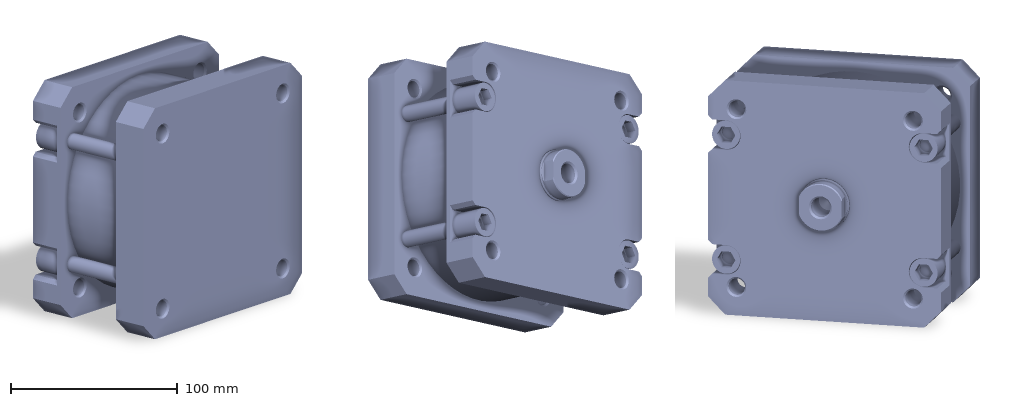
import cadquery as cq
import math

plate_side = 145.0
plate_thickness = 22.0
plate_corner_chamfer = 10.6

barrel_diameter = 132.5
barrel_length = 44.0

mount_hole_offset = 55.0
mount_hole_diameter = 10.2
mount_hole_mouth = 12.3

bolt_offset_y = 61.5
bolt_offset_z = 38.5
bolt_shank_diameter = 10.0
bolt_head_diameter = 17.4
bolt_head_gap = 0.5
bolt_thread_depth = 14.5
hex_across_flats = 10.0
hex_depth = 6.5
hex_pilot_diameter = 8.5
hex_pilot_depth = 1.5

slot_width = 18.3
slot_depth = 19.1
slot_flare = 2.5

rod_shaft_diameter = 31.0
rod_neck_diameter = 29.3
rod_protrusion = 10.0
rod_shoulder_gap = 0.6
rod_shoulder_length = 0.5
rod_edge = 0.6
rod_flat_width = 26.7
rod_flat_length = 8.1
rod_flat_run_out = 1.2
rod_bore_diameter = 12.0
rod_bore_mouth = 14.2
rod_bore_depth = 18.8
drill_point_angle = 118.0

rod_hole_mouth = 31.6

front_face = 0.0
barrel_start = front_face + plate_thickness
rear_plate_start = barrel_start + barrel_length
slot_floor = front_face + slot_depth
rod_tip = front_face - rod_protrusion
bolt_end = rear_plate_start + bolt_thread_depth
bolt_places = [(y, z) for y in (-bolt_offset_y, bolt_offset_y) for z in (-bolt_offset_z, bolt_offset_z)]
mount_places = [(y, z) for y in (-mount_hole_offset, mount_hole_offset)
                for z in (-mount_hole_offset, mount_hole_offset)]


def yz_plane(x):
    """Sketch plane facing +X at the given X; its axes are Y and Z."""
    return cq.Workplane("YZ", origin=(x, 0, 0))


def rod_axis_cylinder(x_start, x_end, diameter, y=0.0, z=0.0):
    return yz_plane(x_start).center(y, z).circle(diameter / 2).extrude(x_end - x_start)


def rod_axis_cone(x_start, x_end, start_diameter, end_diameter, y=0.0, z=0.0):
    """Cone along X; an end diameter of zero gives a pointed cone."""
    solid = cq.Solid.makeCone(
        start_diameter / 2, end_diameter / 2, x_end - x_start, cq.Vector(x_start, y, z), cq.Vector(1, 0, 0)
    )
    return cq.Workplane(solid)


def end_plate(x_start):
    """Square plate with chamfered corners and four countersunk through holes."""
    x_end = x_start + plate_thickness
    countersink = (mount_hole_mouth - mount_hole_diameter) / 2
    plate = yz_plane(x_start).rect(plate_side, plate_side).extrude(plate_thickness)
    plate = plate.edges("|X").chamfer(plate_corner_chamfer)
    for y, z in mount_places:
        plate = plate.cut(rod_axis_cylinder(x_start, x_end, mount_hole_diameter, y, z))
        plate = plate.cut(
            rod_axis_cone(x_start, x_start + countersink, mount_hole_mouth, mount_hole_diameter, y, z)
        )
        plate = plate.cut(
            rod_axis_cone(x_end - countersink, x_end, mount_hole_diameter, mount_hole_mouth, y, z)
        )
    return plate


def bolt_slot(y, z):
    """Round-ended pocket for a bolt head, open and flared at the plate side."""
    side = math.copysign(1, y)
    edge = side * plate_side / 2
    flare_start = edge - side * slot_flare
    half_width = slot_width / 2
    flared_half_width = half_width + slot_flare
    return (
        yz_plane(front_face)
        .moveTo(y, z + half_width)
        .lineTo(flare_start, z + half_width)
        .lineTo(edge, z + flared_half_width)
        .lineTo(edge, z - flared_half_width)
        .lineTo(flare_start, z - half_width)
        .lineTo(y, z - half_width)
        .threePointArc((y - side * half_width, z), (y, z + half_width))
        .close()
        .extrude(slot_depth)
    )


def make_front_plate():
    mouth_depth = (rod_hole_mouth - rod_shaft_diameter) / 2
    plate = end_plate(front_face)
    plate = plate.cut(rod_axis_cylinder(front_face, barrel_start, rod_shaft_diameter))
    plate = plate.cut(
        rod_axis_cone(front_face, front_face + mouth_depth, rod_hole_mouth, rod_shaft_diameter)
    )
    for y, z in bolt_places:
        plate = plate.cut(bolt_slot(y, z))
        plate = plate.cut(rod_axis_cylinder(slot_floor, barrel_start, bolt_shank_diameter, y, z))
    return plate


def make_rear_plate():
    plate = end_plate(rear_plate_start)
    for y, z in bolt_places:
        plate = plate.cut(rod_axis_cylinder(rear_plate_start, bolt_end, bolt_shank_diameter, y, z))
    return plate


def make_barrel():
    return rod_axis_cylinder(barrel_start, rear_plate_start, barrel_diameter)


def rod_flat(side):
    """Material removed for one wrench flat, with a sloped run-out."""
    flat_y = rod_flat_width / 2
    flat_end = rod_tip + rod_flat_length
    outer_y = rod_shaft_diameter / 2
    return (
        cq.Workplane("XY", origin=(0, 0, -outer_y))
        .polyline([
            (rod_tip, side * flat_y),
            (flat_end, side * flat_y),
            (flat_end + rod_flat_run_out, side * outer_y),
            (rod_tip, side * outer_y),
        ])
        .close()
        .extrude(rod_shaft_diameter)
    )


def make_rod():
    """Stepped rod ending at the barrel, with wrench flats and a drilled, countersunk bore."""
    shoulder_end = front_face - rod_shoulder_gap
    shoulder_start = shoulder_end - rod_shoulder_length
    bore_end = rod_tip + rod_bore_depth
    countersink = (rod_bore_mouth - rod_bore_diameter) / 2
    point_length = rod_bore_diameter / 2 / math.tan(math.radians(drill_point_angle / 2))
    neck = rod_axis_cylinder(rod_tip, shoulder_start, rod_neck_diameter).faces("<X").chamfer(rod_edge)
    shoulder = rod_axis_cone(shoulder_start, shoulder_end, rod_neck_diameter, rod_shaft_diameter)
    shaft = rod_axis_cylinder(shoulder_end, barrel_start, rod_shaft_diameter)
    rod = neck.union(shoulder).union(shaft)
    for side in (-1, 1):
        rod = rod.cut(rod_flat(side))
    rod = rod.cut(rod_axis_cylinder(rod_tip, bore_end, rod_bore_diameter))
    rod = rod.cut(rod_axis_cone(rod_tip, rod_tip + countersink, rod_bore_mouth, rod_bore_diameter))
    return rod.cut(rod_axis_cone(bore_end, bore_end + point_length, rod_bore_diameter, 0))


def make_bolt(y, z):
    """Socket head bolt that clamps the two plates together."""
    head_face = front_face + bolt_head_gap
    hex_floor = head_face + hex_depth
    hex_across_corners = hex_across_flats / math.cos(math.radians(30))
    head = rod_axis_cylinder(head_face, slot_floor, bolt_head_diameter, y, z)
    socket = yz_plane(head_face).center(y, z).polygon(6, hex_across_corners).extrude(hex_depth)
    pilot = rod_axis_cylinder(hex_floor, hex_floor + hex_pilot_depth, hex_pilot_diameter, y, z)
    shank = rod_axis_cylinder(slot_floor, bolt_end, bolt_shank_diameter, y, z)
    return head.union(shank).cut(socket).cut(pilot)


front_plate = make_front_plate()
rear_plate = make_rear_plate()
barrel = make_barrel()
rod = make_rod()
bolts = [make_bolt(y, z) for y, z in bolt_places]

result = cq.Compound.makeCompound([
    front_plate.val(),
    rear_plate.val(),
    barrel.val(),
    rod.val(),
    *[bolt.val() for bolt in bolts],
])